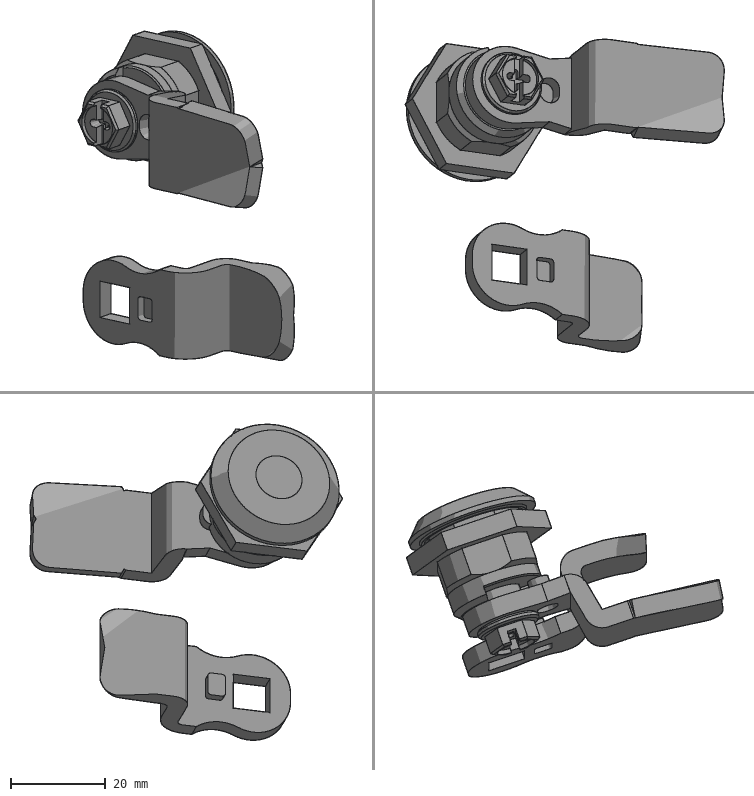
import cadquery as cq
import math


FLANGE_FACE_RADIUS = 11.1
FLANGE_RADIUS = 14.0
FLANGE_BEVEL_DEPTH = 3.1
FLANGE_DEPTH = 4.15
THREAD_RADIUS = 11.0
THREAD_FLATS = 20.05
BARREL_RADIUS = 20.2 / 2
THREAD_END = 16.95
BARREL_CHAMFER = 1.15
HOUSING_DEPTH = 22.2
STOP_WALL = 2.85
STOP_FLOOR_RIM = 19.2
STOP_FLOOR_CHAMFER = 0.3

GASKET_RADIUS = 12.0
GASKET_THICKNESS = 0.4
NUT_FLATS = 26.95
NUT_DEPTH = 6.1
NUT_THICKNESS = 4.0

ROTOR_RADIUS = 5.05
SQUARE = 8.0

WASHER_RADIUS = 6.8
WASHER_THICKNESS = 1.55
WASHER_CHAMFER = 0.45
HEAD_FLATS = 9.6
HEAD_HEIGHT = 4.2
HEAD_CHAMFER = 0.45
CUP_RADIUS = 4.15
CUP_DEPTH = 1.0
SLOT_WIDTH = 1.9
SLOT_DEPTH = 2.85
CROSS_LENGTH = 5.3
CROSS_WIDTH = 1.7
CROSS_DEPTH = 2.6
CROSS_DRAFT = 7.0
BOLT_RADIUS = 3.0
BOLT_REACH = 11.95

SHEET = 4.0
ARM_HALF_WIDTH = 9.5

CAM_HEAD_RADIUS = 8.55
NECK_X = 9.1
NECK_ANGLE = 10.0
CAM_BEND_X = 14.15
CAM_LEG_LEAN = 10.0
CAM_ARM_DEPTH = HOUSING_DEPTH + 9.9
CAM_FOLD_X = 24.9
CAM_TIP_X = 44.55
CAM_FLAP_HALF_WIDTH = 9.3
CAM_FOLD_ANGLE = 15.6
CAM_CORNER_RADIUS = 3.9
STUD_LENGTH = 5.55
STUD_WIDTH = 4.5
STUD_HEIGHT = 2.5
STUD_POCKET_DRAFT = 9.0

SPARE_Z = -40.35
SPARE_PLATE = 3.8
SPARE_HEAD_X = -0.3
SPARE_HEAD_OFFSET = 1.0
SPARE_HEAD_RADIUS = 8.2
SPARE_NECK_HALF = 7.7
SPARE_NECK_RADIUS = 9.05
SPARE_LEG_X = 16.4
SPARE_OUTER_BEND = 6.35
SPARE_INNER_BEND = 1.2
SPARE_TOP_INNER_BEND = 1.5
SPARE_ARM_DEPTH = 9.8
SPARE_FOLD_X = 24.25
SPARE_TIP_X = 35.5
SPARE_CURL_RADIUS = 11.0
SPARE_CURL_ANGLE = 50.0
SPARE_FLAP_BACK = [(32.4, 10.7), (35.3, 9.9), (36.6, 7.55)]
SPARE_FLAP_FRONT = [(31.15, 8.55), (33.8, 6.9), (34.9, 4.0)]
SPARE_FLAP_SPAN = 5.8
SPARE_STUD_X = 8.2
SPARE_STUD_WIDTH = 3.9
SPARE_STUD_LENGTH = 5.2
SPARE_STUD_HEIGHT = 2.0
SPARE_STUD_CORNER = 0.8

CAM_BACK = HOUSING_DEPTH
CAM_FRONT = CAM_BACK + SHEET
WASHER_FRONT = CAM_FRONT + WASHER_THICKNESS
HEAD_END = WASHER_FRONT + HEAD_HEIGHT
HEX_CORNER_RATIO = 2 / math.sqrt(3)


def at_depth(depth):
    """Plane square to the lock axis; local x, y are X, Z and extrusion adds depth."""
    return cq.Workplane("XZ", origin=(0, -depth, 0))


def plan():
    """Plane seen along Z; local x, y are X, Y."""
    return cq.Workplane("XY")


def turned(profile):
    """Solid of revolution about the lock axis from (radius, depth) points."""
    points = [(radius, -depth) for radius, depth in profile]
    return plan().polyline(points).close().revolve(360, (0, 0), (0, 1))


def mirrored_pair(solid):
    """The solid joined to its mirror image below Z = 0."""
    return solid.union(solid.mirror("XY"))


def both_edges(upper):
    """Closed outline points from the upper edge and its mirror image."""
    return upper + [(x, -z) for x, z in reversed(upper)]


def thread_section():
    chamfer = THREAD_RADIUS - BARREL_RADIUS
    rod = turned([
        (0, FLANGE_DEPTH),
        (THREAD_RADIUS, FLANGE_DEPTH),
        (THREAD_RADIUS, THREAD_END - chamfer),
        (BARREL_RADIUS, THREAD_END),
        (0, THREAD_END),
    ])
    return rod.intersect(at_depth(0).rect(THREAD_FLATS, THREAD_FLATS).extrude(HOUSING_DEPTH))


def stop_window():
    span = 2 * BARREL_RADIUS
    window = (
        at_depth(STOP_FLOOR_RIM)
        .rect(span, span, centered=False)
        .extrude(HOUSING_DEPTH - STOP_FLOOR_RIM)
        .translate((-STOP_WALL, 0, -STOP_WALL))
    )
    floor = turned([
        (0, STOP_FLOOR_RIM),
        (BARREL_RADIUS, STOP_FLOOR_RIM),
        (BARREL_RADIUS - STOP_FLOOR_CHAMFER, STOP_FLOOR_RIM + STOP_FLOOR_CHAMFER),
        (0, STOP_FLOOR_RIM + STOP_FLOOR_CHAMFER),
    ])
    return window.cut(floor)


def make_housing():
    flange = turned([
        (0, 0),
        (FLANGE_FACE_RADIUS, 0),
        (FLANGE_RADIUS, FLANGE_BEVEL_DEPTH),
        (FLANGE_RADIUS, FLANGE_DEPTH),
        (0, FLANGE_DEPTH),
    ])
    barrel = turned([
        (0, THREAD_END),
        (BARREL_RADIUS, THREAD_END),
        (BARREL_RADIUS, HOUSING_DEPTH - BARREL_CHAMFER),
        (BARREL_RADIUS - BARREL_CHAMFER, HOUSING_DEPTH),
        (0, HOUSING_DEPTH),
    ])
    bore = at_depth(0).circle(ROTOR_RADIUS).extrude(HOUSING_DEPTH)
    return flange.union(thread_section()).union(barrel).cut(stop_window()).cut(bore)


def make_gasket():
    back = FLANGE_DEPTH + GASKET_THICKNESS
    return turned([
        (THREAD_RADIUS, FLANGE_DEPTH),
        (GASKET_RADIUS, FLANGE_DEPTH),
        (GASKET_RADIUS - GASKET_THICKNESS, back),
        (THREAD_RADIUS, back),
    ])


def make_nut():
    hexagon = at_depth(NUT_DEPTH).polygon(6, NUT_FLATS * HEX_CORNER_RATIO).extrude(NUT_THICKNESS)
    return hexagon.cut(thread_section())


def bolt_shank():
    return at_depth(WASHER_FRONT - BOLT_REACH).circle(BOLT_RADIUS).extrude(BOLT_REACH)


def square_drive():
    return at_depth(CAM_BACK).rect(SQUARE, SQUARE).extrude(SHEET)


def make_rotor():
    journal = at_depth(0).circle(ROTOR_RADIUS).extrude(HOUSING_DEPTH)
    return journal.union(square_drive()).cut(bolt_shank())


def make_washer():
    disc = at_depth(CAM_FRONT).circle(WASHER_RADIUS).extrude(WASHER_THICKNESS)
    return disc.edges().chamfer(WASHER_CHAMFER).cut(bolt_shank())


def make_bolt():
    head = at_depth(WASHER_FRONT).polygon(6, HEAD_FLATS * HEX_CORNER_RATIO).extrude(HEAD_HEIGHT)
    head = head.faces("<Y").edges().chamfer(HEAD_CHAMFER)
    cup = at_depth(HEAD_END).circle(CUP_RADIUS).extrude(-CUP_DEPTH)
    slot = at_depth(HEAD_END).rect(SLOT_WIDTH, 2 * HEAD_FLATS).extrude(-SLOT_DEPTH)
    head = head.cut(cup).cut(slot)
    for angle in (0, 90):
        arm = (
            at_depth(HEAD_END - CUP_DEPTH)
            .slot2D(CROSS_LENGTH, CROSS_WIDTH, angle)
            .extrude(-CROSS_DEPTH, taper=CROSS_DRAFT)
        )
        head = head.cut(arm)
    return head.union(bolt_shank())


def fold_sweep(fold_start, tip_x, front_depth, curl_radius, angle):
    """Sheet section on the upper fold line, swung toward -Y by the fold angle.

    The fold line runs from fold_start (x, z) to the tip on the centre line.
    The swing axis lies curl_radius in front of the sheet's front face."""
    start_x, start_z = fold_start
    run = tip_x - start_x
    fold_plane = cq.Plane(
        origin=(start_x, -front_depth, start_z),
        xDir=(run, 0, -start_z),
        normal=(start_z, 0, run),
    )
    return (
        cq.Workplane(fold_plane)
        .rect(math.hypot(run, start_z), SHEET, centered=False)
        .revolve(angle, (0, -curl_radius), (1, -curl_radius))
    )


def blade_triangle(fold_x, tip_x, back_depth):
    """Flat middle of a blade, between its two fold lines."""
    corners = [(fold_x, ARM_HALF_WIDTH), (tip_x, 0), (fold_x, -ARM_HALF_WIDTH)]
    return at_depth(back_depth).polyline(corners).close().extrude(SHEET)


def cam_head():
    neck = math.radians(NECK_ANGLE)
    tangent_x = CAM_HEAD_RADIUS * math.sin(neck)
    tangent_z = CAM_HEAD_RADIUS * math.cos(neck)
    neck_half = tangent_z - (NECK_X - tangent_x) * math.tan(neck)
    bend_half = neck_half + (CAM_BEND_X - NECK_X) * math.tan(neck)
    upper = [(tangent_x, tangent_z), (NECK_X, neck_half), (CAM_BEND_X, bend_half)]
    outline = both_edges(upper)
    plate = (
        at_depth(CAM_BACK)
        .polyline(outline)
        .threePointArc((-CAM_HEAD_RADIUS, 0), outline[0])
        .close()
        .extrude(SHEET)
    )
    return plate, bend_half


def cam_leg_and_arm(bend_half):
    lean = math.radians(CAM_LEG_LEAN)
    arm_front = CAM_ARM_DEPTH + SHEET

    def around(centre, angle):
        return (centre[0] + SHEET * math.cos(angle), centre[1] + SHEET * math.sin(angle))

    upper_corner = (CAM_BEND_X, -CAM_FRONT)
    leg_top = around(upper_corner, lean)
    lower_corner = (leg_top[0] + (leg_top[1] + CAM_ARM_DEPTH) * math.tan(lean), -CAM_ARM_DEPTH)
    leg_bottom = around(lower_corner, math.pi + lean)
    strip = (
        plan()
        .moveTo(CAM_BEND_X, -CAM_BACK)
        .threePointArc(around(upper_corner, (math.pi / 2 + lean) / 2), leg_top)
        .lineTo(*lower_corner)
        .lineTo(CAM_FOLD_X, -CAM_ARM_DEPTH)
        .lineTo(CAM_FOLD_X, -arm_front)
        .lineTo(lower_corner[0], -arm_front)
        .threePointArc(around(lower_corner, (2.5 * math.pi + lean) / 2), leg_bottom)
        .lineTo(*upper_corner)
        .close()
        .extrude(ARM_HALF_WIDTH, both=True)
    )
    widening = both_edges([
        (-CAM_BACK, bend_half),
        (-CAM_ARM_DEPTH, ARM_HALF_WIDTH),
        (-arm_front, ARM_HALF_WIDTH),
    ])
    return strip.intersect(cq.Workplane("YZ").polyline(widening).close().extrude(CAM_FOLD_X))


def cam_flap():
    """Upper corner of the mounted cam's blade, folded sharply toward -Y."""
    arm_front = CAM_ARM_DEPTH + SHEET
    fold_run = (CAM_TIP_X - CAM_FOLD_X) * CAM_FLAP_HALF_WIDTH / ARM_HALF_WIDTH
    fold_start = (CAM_TIP_X - fold_run, CAM_FLAP_HALF_WIDTH)
    corners = [fold_start, (CAM_TIP_X, CAM_FLAP_HALF_WIDTH), (CAM_TIP_X, 0)]
    flap = at_depth(CAM_ARM_DEPTH).polyline(corners).close().extrude(SHEET)
    flap = flap.edges("|Y").edges(">X and >Z").fillet(CAM_CORNER_RADIUS)
    flap = flap.rotate(
        (fold_start[0], -arm_front, fold_start[1]),
        (CAM_TIP_X, -arm_front, 0),
        CAM_FOLD_ANGLE,
    )
    return flap.union(fold_sweep(fold_start, CAM_TIP_X, arm_front, 0, CAM_FOLD_ANGLE))


def make_mounted_cam():
    head, bend_half = cam_head()
    stud = (
        at_depth(CAM_BACK - STUD_HEIGHT)
        .center(NECK_X, 0)
        .slot2D(STUD_LENGTH, STUD_WIDTH, 90)
        .extrude(STUD_HEIGHT)
    )
    pocket = (
        at_depth(CAM_FRONT)
        .center(NECK_X, 0)
        .slot2D(STUD_LENGTH, STUD_WIDTH, 90)
        .extrude(-STUD_HEIGHT, taper=STUD_POCKET_DRAFT)
    )
    cam = head.union(cam_leg_and_arm(bend_half))
    cam = cam.union(blade_triangle(CAM_FOLD_X, CAM_TIP_X, CAM_ARM_DEPTH))
    cam = cam.union(mirrored_pair(cam_flap()))
    return cam.union(stud).cut(pocket).cut(square_drive())


def spare_head():
    """Head plate: two tangent arcs per side join the round head to the arm."""
    neck_z = SPARE_NECK_HALF + SPARE_NECK_RADIUS
    centre_gap = SPARE_HEAD_RADIUS + SPARE_NECK_RADIUS
    neck_x = SPARE_HEAD_X + math.sqrt(centre_gap ** 2 - (neck_z - SPARE_HEAD_OFFSET) ** 2)
    share = SPARE_HEAD_RADIUS / centre_gap
    join = (
        SPARE_HEAD_X + (neck_x - SPARE_HEAD_X) * share,
        SPARE_HEAD_OFFSET + (neck_z - SPARE_HEAD_OFFSET) * share,
    )
    rise = neck_z - ARM_HALF_WIDTH
    shoulder = (neck_x + math.sqrt(SPARE_NECK_RADIUS ** 2 - rise ** 2), ARM_HALF_WIDTH)
    head_left = SPARE_HEAD_X - SPARE_HEAD_RADIUS
    head_top = SPARE_HEAD_OFFSET + SPARE_HEAD_RADIUS
    plate = (
        at_depth(CAM_BACK)
        .moveTo(head_left, SPARE_HEAD_OFFSET)
        .threePointArc((SPARE_HEAD_X, head_top), join)
        .threePointArc((neck_x, SPARE_NECK_HALF), shoulder)
        .lineTo(shoulder[0], -ARM_HALF_WIDTH)
        .threePointArc((neck_x, -SPARE_NECK_HALF), (join[0], -join[1]))
        .threePointArc((SPARE_HEAD_X, -head_top), (head_left, -SPARE_HEAD_OFFSET))
        .close()
        .extrude(SPARE_PLATE)
    )
    return plate, shoulder[0]


def spare_leg_and_arm(start_x):
    plate_front = CAM_BACK + SPARE_PLATE
    leg_right = SPARE_LEG_X + SHEET
    arm_front = SPARE_ARM_DEPTH + SHEET
    strip = plan().polyline([
        (start_x, -plate_front),
        (leg_right, -plate_front),
        (leg_right, -arm_front),
        (SPARE_FOLD_X, -arm_front),
        (SPARE_FOLD_X, -SPARE_ARM_DEPTH),
        (SPARE_LEG_X, -SPARE_ARM_DEPTH),
        (SPARE_LEG_X, -CAM_BACK),
        (start_x, -CAM_BACK),
    ]).close().extrude(ARM_HALF_WIDTH, both=True)
    bends = [
        (leg_right, plate_front, SPARE_OUTER_BEND),
        (SPARE_LEG_X, CAM_BACK, SPARE_INNER_BEND),
        (SPARE_LEG_X, SPARE_ARM_DEPTH, SHEET),
        (leg_right, arm_front, SPARE_TOP_INNER_BEND),
    ]
    for x, depth, radius in bends:
        strip = strip.edges(cq.NearestToPointSelector((x, -depth, 0))).fillet(radius)
    return strip


def spare_flap():
    """Upper corner of the spare cam's blade, curled toward -Y."""
    arm_front = SPARE_ARM_DEPTH + SHEET
    fold_start = (SPARE_FOLD_X, ARM_HALF_WIDTH)
    curl = fold_sweep(fold_start, SPARE_TIP_X, arm_front, SPARE_CURL_RADIUS, SPARE_CURL_ANGLE)

    def outline(plane, edge_end, corner_middle, corner_end):
        return (
            plane.moveTo(*fold_start)
            .lineTo(*edge_end)
            .threePointArc(corner_middle, corner_end)
            .lineTo(SPARE_TIP_X, 0)
            .close()
        )

    trim = outline(at_depth(SPARE_ARM_DEPTH), *SPARE_FLAP_BACK)
    trim = outline(trim.workplane(offset=SPARE_FLAP_SPAN), *SPARE_FLAP_FRONT)
    trim = trim.loft(ruled=True)
    return curl.intersect(trim)


def make_spare_cam():
    def stud_block(depth):
        return (
            at_depth(depth)
            .center(SPARE_STUD_X, 0)
            .rect(SPARE_STUD_WIDTH, SPARE_STUD_LENGTH)
            .extrude(SPARE_STUD_HEIGHT)
            .edges("|Y")
            .fillet(SPARE_STUD_CORNER)
        )

    head, shoulder_x = spare_head()
    cam = head.union(spare_leg_and_arm(shoulder_x))
    cam = cam.union(blade_triangle(SPARE_FOLD_X, SPARE_TIP_X, SPARE_ARM_DEPTH))
    cam = cam.union(mirrored_pair(spare_flap()))
    cam = cam.union(stud_block(CAM_BACK - SPARE_STUD_HEIGHT))
    cam = cam.cut(stud_block(CAM_BACK + SPARE_PLATE - SPARE_STUD_HEIGHT)).cut(square_drive())
    return cam.translate((0, 0, SPARE_Z))


housing = make_housing()
gasket = make_gasket()
nut = make_nut()
rotor = make_rotor()
mounted_cam = make_mounted_cam()
washer = make_washer()
bolt = make_bolt()
spare_cam = make_spare_cam()

result = cq.Compound.makeCompound([
    housing.val(),
    gasket.val(),
    nut.val(),
    rotor.val(),
    mounted_cam.val(),
    washer.val(),
    bolt.val(),
    spare_cam.val(),
])